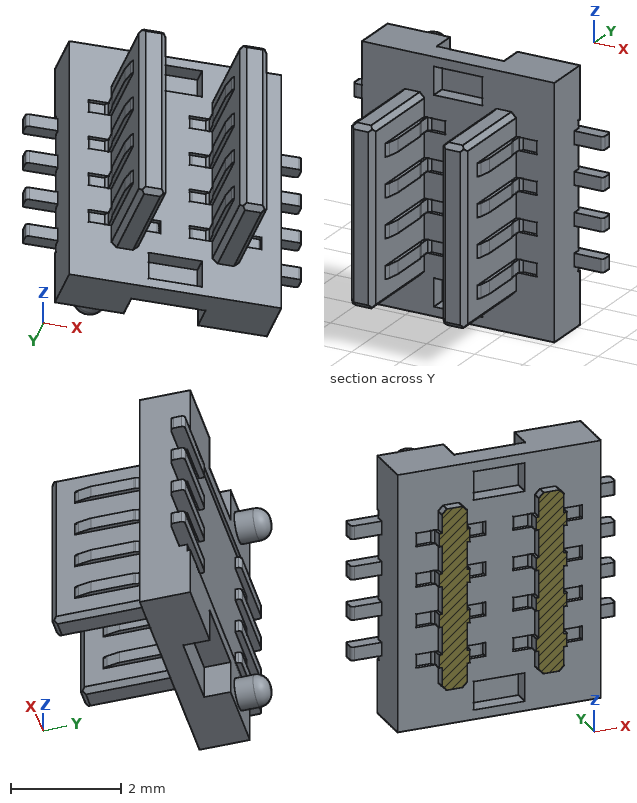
import cadquery as cq


BODY_WIDTH = 4.0
BODY_HEIGHT = 5.1
BODY_DEPTH = 0.95
FRONT_Y = -BODY_DEPTH
RECESS_HEIGHT = 2.965
RECESS_DEPTH = 0.055

NOTCH_WIDTH = 1.4
NOTCH_DEPTH = 0.5
WINDOW_WIDTH = 1.01
WINDOW_HEIGHT = 0.56
WINDOW_DEPTH = 0.3
WINDOW_Z = 2.08
NOTCH_HEIGHT = BODY_HEIGHT / 2 - (WINDOW_Z - WINDOW_HEIGHT / 2)

BLADE_X = 0.95
BLADE_THICKNESS = 0.505
BLADE_LENGTH = 1.9
BLADE_HEIGHT = 3.6
BLADE_CHAMFER = 0.1

PINS_PER_ROW = 4
PIN_PITCH = 0.8
PIN_WIDTH = 0.265
PIN_ROUND = 0.055
PIN_ZS = [(i - (PINS_PER_ROW - 1) / 2) * PIN_PITCH for i in range(PINS_PER_ROW)]

OVERALL_WIDTH = 5.2
FOOT_THICKNESS = 0.265
FOOT_REAR_Y = 0.055
FOOT_INNER_X = 1.21

POCKET_HALF_WIDTH = 0.68
POCKET_DEPTH = 0.08
POCKET_OUTER_ROUND = 0.04

ROOT_OFFSET = 0.305
ROOT_FLARE = 0.05
CONTACT_OFFSET = 0.33
TIP_OFFSET = 0.285
STEP_START = 0.225
STEP_END = 0.3
STEP_RADIUS = 0.105
TAPER_START = 1.125
TAPER_END = 1.37
CONTACT_END = 1.445
TIP_BULGE = 0.005

PEG_RADIUS = 0.3
PEG_LENGTH = 0.6
PEG_TIP_ROUND = 0.25
PEG_X = -1.25
PEG_Z = 2.1


def box(x_range, y_range, z_range):
    """Box spanning the given (low, high) limits on each axis."""
    size = [high - low for low, high in (x_range, y_range, z_range)]
    corner = (x_range[0], y_range[0], z_range[0])
    return cq.Workplane("XY").box(*size, centered=False).translate(corner)


def span(centre, length):
    return (centre - length / 2, centre + length / 2)


def make_housing():
    housing = box(span(0, BODY_WIDTH), (FRONT_Y, 0), span(0, BODY_HEIGHT))
    housing = housing.cut(box(span(0, BODY_WIDTH), (-RECESS_DEPTH, 0), span(0, RECESS_HEIGHT)))
    for side in (-1, 1):
        notch_z = side * (BODY_HEIGHT - NOTCH_HEIGHT) / 2
        housing = housing.cut(
            box(span(0, NOTCH_WIDTH), (-NOTCH_DEPTH, 0), span(notch_z, NOTCH_HEIGHT))
        )
        window_y = (FRONT_Y, FRONT_Y + WINDOW_DEPTH)
        housing = housing.cut(
            box(span(0, WINDOW_WIDTH), window_y, span(side * WINDOW_Z, WINDOW_HEIGHT))
        )
    return housing


def make_pocket(z):
    """Shallow slot across the blade whose metal floor rounds down at both ends."""
    floor_y = FRONT_Y + POCKET_DEPTH
    slot_x = span(BLADE_X, 2 * POCKET_HALF_WIDTH)
    slot = box(slot_x, (FRONT_Y, floor_y + PIN_ROUND), span(z, PIN_WIDTH))
    floor = box(slot_x, (floor_y, floor_y + 2 * PIN_ROUND), span(z, PIN_WIDTH))
    floor = floor.edges("|Z and <X and <Y").fillet(PIN_ROUND)
    floor = floor.edges("|Z and >X and <Y").fillet(POCKET_OUTER_ROUND)
    return slot.cut(floor)


def make_blade():
    """Blade whose flat bevels meet at a point in each corner of the tip."""
    block = box(
        span(BLADE_X, BLADE_THICKNESS),
        (FRONT_Y - BLADE_LENGTH, FRONT_Y + POCKET_DEPTH),
        span(0, BLADE_HEIGHT),
    )
    blade = block.edges("|Y").chamfer(BLADE_CHAMFER)
    for tip_edges in ("|X and <Y", "|Z and <Y"):
        blade = blade.intersect(block.edges(tip_edges).chamfer(BLADE_CHAMFER))
    return blade


def make_contact(z):
    """Pair of contact strips on both faces of a blade, flared into the pocket floor."""
    floor_y = FRONT_Y + POCKET_DEPTH
    tip_offset = BLADE_THICKNESS / 2
    tip_middle = (
        (TIP_OFFSET + tip_offset) / 2 + TIP_BULGE,
        FRONT_Y - (TAPER_END + CONTACT_END) / 2,
    )
    half = (
        cq.Workplane("XY")
        .moveTo(0, floor_y)
        .lineTo(ROOT_OFFSET + ROOT_FLARE, floor_y)
        .radiusArc((ROOT_OFFSET, floor_y - ROOT_FLARE), ROOT_FLARE)
        .lineTo(ROOT_OFFSET, FRONT_Y - STEP_START)
        .lineTo(CONTACT_OFFSET, FRONT_Y - STEP_END)
        .lineTo(CONTACT_OFFSET, FRONT_Y - TAPER_START)
        .lineTo(TIP_OFFSET, FRONT_Y - TAPER_END)
        .threePointArc(tip_middle, (tip_offset, FRONT_Y - CONTACT_END))
        .lineTo(0, FRONT_Y - CONTACT_END)
        .close()
        .extrude(PIN_WIDTH / 2, both=True)
    )
    step_edges = cq.selectors.BoxSelector(
        (0, FRONT_Y - STEP_END - STEP_RADIUS, -PIN_WIDTH),
        (2 * CONTACT_OFFSET, FRONT_Y - STEP_START + STEP_RADIUS, PIN_WIDTH),
    )
    half = half.edges("|Z").edges(step_edges).fillet(STEP_RADIUS)
    return half.union(half.mirror("YZ")).translate((BLADE_X, 0, z))


def make_foot(z):
    foot = box(
        (FOOT_INNER_X, OVERALL_WIDTH / 2),
        (FOOT_REAR_Y - FOOT_THICKNESS, FOOT_REAR_Y),
        span(z, PIN_WIDTH),
    )
    return foot.edges("|Z").fillet(PIN_ROUND)


def make_peg(z):
    peg = cq.Workplane("XZ").center(PEG_X, z).circle(PEG_RADIUS).extrude(-PEG_LENGTH)
    return peg.faces(">Y").edges().fillet(PEG_TIP_ROUND)


def make_pockets():
    """All the pockets of the +X row."""
    pockets = make_pocket(PIN_ZS[0])
    for z in PIN_ZS[1:]:
        pockets = pockets.union(make_pocket(z))
    return pockets


def make_row():
    """Blade of the +X row with its contacts and solder feet."""
    row = make_blade()
    for z in PIN_ZS:
        row = row.union(make_contact(z)).union(make_foot(z))
    return row


pockets = make_pockets()
row = make_row()
result = make_housing().cut(pockets).cut(pockets.mirror("YZ"))
result = result.union(row).union(row.mirror("YZ"))
for peg_z in (-PEG_Z, PEG_Z):
    result = result.union(make_peg(peg_z))